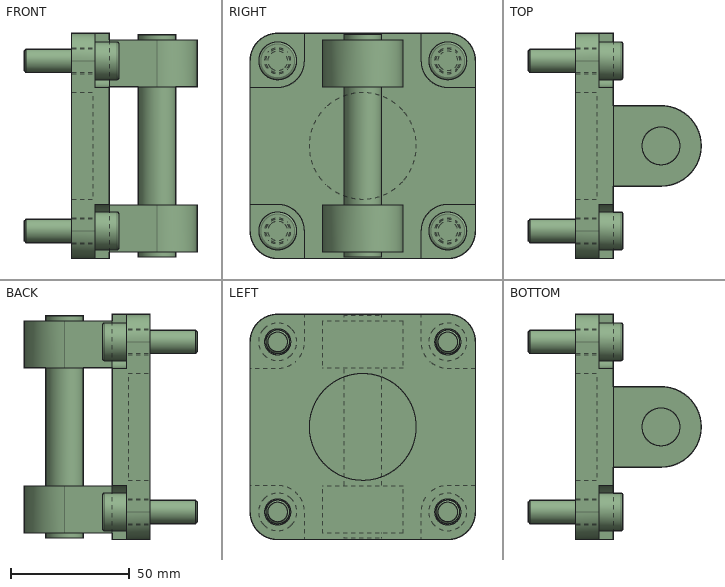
import cadquery as cq

plate_side = 95.0
plate_thickness = 16.0
corner_floor = 10.0
screw_spacing = 71.6
screw_offset = screw_spacing / 2
edge_distance = plate_side / 2 - screw_offset
corner_radius = edge_distance
pocket_radius = 11.2
clearance_diameter = 11.0
recess_diameter = 45.0
recess_depth = 9.0

lug_width = 34.0
lug_thickness = 19.9
lug_gap = 49.7
pin_axis_x = 36.0
pin_diameter = 16.0
pin_length = 93.7

shank_diameter = 10.0
shank_projection = 19.95
shank_chamfer = 0.9
head_diameter = 16.0
head_height = 10.0
head_fillet = 0.9


def make_plate():
    """Square plate with rounded corners, relieved at each corner for a screw head."""
    plate = (
        cq.Workplane("YZ")
        .rect(plate_side, plate_side)
        .extrude(plate_thickness)
        .edges("|X")
        .fillet(corner_radius)
    )
    pocket_side = 2 * (edge_distance + pocket_radius)
    pockets = (
        cq.Workplane("YZ", origin=(corner_floor, 0, 0))
        .rect(plate_side, plate_side, forConstruction=True)
        .vertices()
        .rect(pocket_side, pocket_side)
        .extrude(plate_thickness - corner_floor)
        .edges("|X")
        .fillet(pocket_radius)
    )
    screw_holes = (
        cq.Workplane("YZ")
        .rect(screw_spacing, screw_spacing, forConstruction=True)
        .vertices()
        .circle(clearance_diameter / 2)
        .extrude(corner_floor)
    )
    recess = cq.Workplane("YZ").circle(recess_diameter / 2).extrude(recess_depth)
    return plate.cut(pockets).cut(screw_holes).cut(recess)


def make_lug(bottom_z):
    """Round-ended lug standing on the front face of the plate."""
    half_width = lug_width / 2
    return (
        cq.Workplane("XY", origin=(0, 0, bottom_z))
        .moveTo(plate_thickness, -half_width)
        .lineTo(pin_axis_x, -half_width)
        .threePointArc((pin_axis_x + half_width, 0), (pin_axis_x, half_width))
        .lineTo(plate_thickness, half_width)
        .close()
        .extrude(lug_thickness)
    )


def make_bracket():
    """Plate, both lugs and the cross pin as one solid."""
    pin = (
        cq.Workplane("XY", origin=(pin_axis_x, 0, -pin_length / 2))
        .circle(pin_diameter / 2)
        .extrude(pin_length)
    )
    bracket = make_plate()
    for bottom_z in (lug_gap / 2, -lug_gap / 2 - lug_thickness):
        bracket = bracket.union(make_lug(bottom_z))
    return bracket.union(pin)


def make_screw(y, z):
    """Cap screw along X, with its head seated on the pocket floor."""
    shank = (
        cq.Workplane("YZ", origin=(-shank_projection, y, z))
        .circle(shank_diameter / 2)
        .extrude(shank_projection + corner_floor)
        .faces("<X")
        .chamfer(shank_chamfer)
    )
    head = (
        cq.Workplane("YZ", origin=(corner_floor, y, z))
        .circle(head_diameter / 2)
        .extrude(head_height)
        .faces(">X")
        .edges()
        .fillet(head_fillet)
    )
    return shank.union(head)


bracket = make_bracket()
screws = [
    make_screw(y, z)
    for y in (-screw_offset, screw_offset)
    for z in (-screw_offset, screw_offset)
]

result = cq.Compound.makeCompound([bracket.val(), *[screw.val() for screw in screws]])